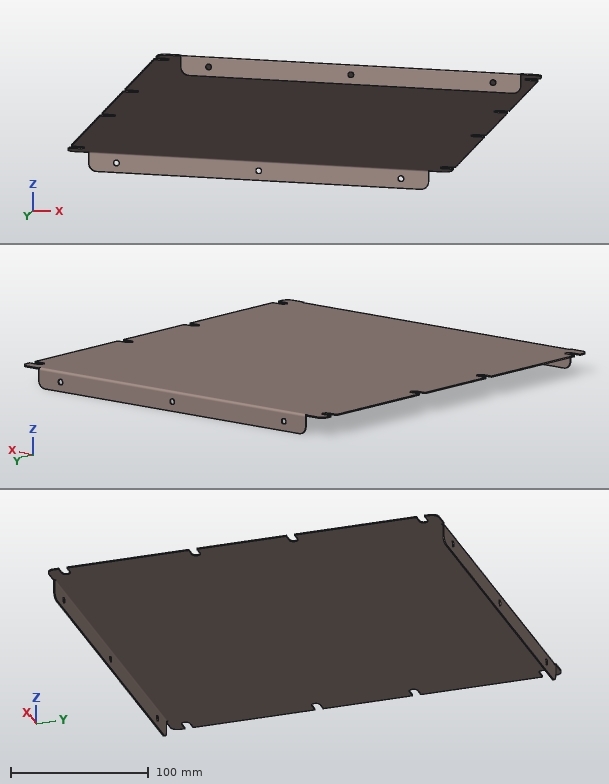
import cadquery as cq

panel_width = 286.5
panel_length = 299.5
total_height = 15.0
sheet = 1.0
panel_corner_radius = 5.5

flange_width = 253.5
flange_corner_radius = 6.0
bend_inner_radius = 1.0
bend_outer_radius = bend_inner_radius + sheet

slot_width = 6.3
slot_depth = 10.5
slot_distances = (37.5, 137.2)

hole_diameter = 4.2
hole_spacing = 106.0
hole_drop = 7.8


def make_panel():
    """Flat sheet with rounded corners, cut back where the bends begin."""
    panel = (
        cq.Workplane("XY")
        .box(panel_width, panel_length, sheet, centered=(True, True, False))
        .translate((0, 0, -sheet))
        .edges("|Z")
        .fillet(panel_corner_radius)
    )
    for side in (-1, 1):
        bend_zone = (
            cq.Workplane("XY")
            .box(flange_width, bend_outer_radius, 2 * sheet)
            .translate((0, side * (panel_length - bend_outer_radius) / 2, -sheet / 2))
        )
        panel = panel.cut(bend_zone)
    return panel


def make_slots():
    """Round-ended cutters that open through the X edges."""
    slot_length = 2 * slot_depth
    centers = [
        (x_side * panel_width / 2, y_side * distance)
        for x_side in (-1, 1)
        for y_side in (-1, 1)
        for distance in slot_distances
    ]
    return (
        cq.Workplane("XY")
        .workplane(offset=-2 * sheet)
        .pushPoints(centers)
        .slot2D(slot_length, slot_width)
        .extrude(3 * sheet)
    )


def make_flange():
    """Bend and downward flange on the -Y edge, with its screw holes."""
    outer_y = -panel_length / 2
    bend_y = outer_y + bend_outer_radius
    profile = (
        cq.Workplane("YZ")
        .moveTo(bend_y, 0)
        .radiusArc((outer_y, -bend_outer_radius), -bend_outer_radius)
        .lineTo(outer_y, -total_height)
        .lineTo(outer_y + sheet, -total_height)
        .lineTo(outer_y + sheet, -bend_outer_radius)
        .radiusArc((bend_y, -sheet), bend_inner_radius)
        .close()
    )
    flange = profile.extrude(flange_width / 2, both=True)
    flange = flange.faces("<Z").edges("|Y").fillet(flange_corner_radius)
    holes = (
        cq.Workplane("XZ", origin=(0, outer_y, 0))
        .pushPoints([(step * hole_spacing, -hole_drop) for step in (-1, 0, 1)])
        .circle(hole_diameter / 2)
        .extrude(2 * sheet, both=True)
    )
    return flange.cut(holes)


front_flange = make_flange()
back_flange = front_flange.mirror("XZ")
result = make_panel().cut(make_slots()).union(front_flange).union(back_flange)